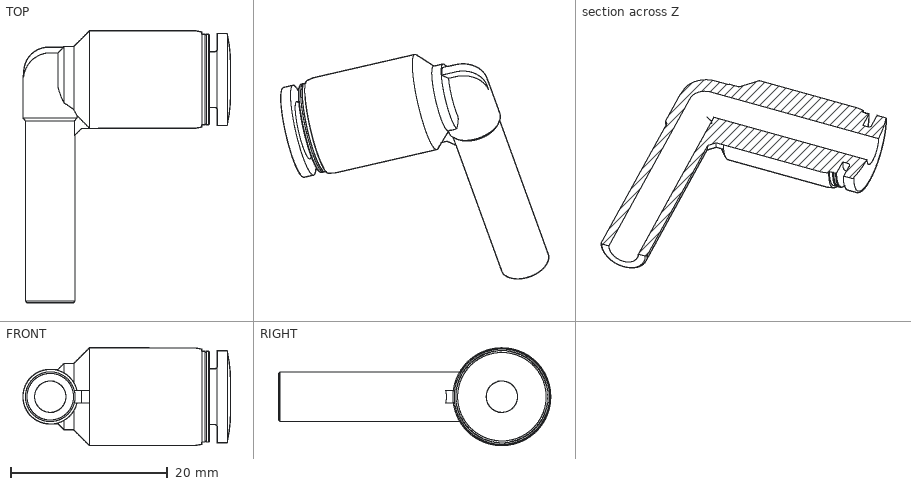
import cadquery as cq
import math


bore_dia = 4.0
bore_radius = bore_dia / 2
stem_radius = 6.35 / 2
stem_end_y = -28.5
stem_chamfer = 0.2
elbow_radius = 3.5
elbow_end_y = -5.3
elbow_bevel_length = 0.4

shoulder_radius = 4.25
body_radius = 12.5 / 2
shoulder_bevel = shoulder_radius - elbow_radius
shoulder_bevel_start = 1.0
shoulder_end = 3.0
body_start = shoulder_end + (body_radius - shoulder_radius)
body_rim_start = 18.5
body_end = 19.35
body_rim_drop = 0.16

seal_radius = 11.62 / 2
seal_end = 20.3
seal_bevel = 0.1
groove_start = 19.78
groove_end = 19.97
groove_depth = 0.15

button_neck_radius = 7.15 / 2
button_neck_end = 21.0
button_neck_flare = 0.18
button_start = 21.29
button_radius = 11.8 / 2
button_rim_start = 22.48
button_dome_start = 22.63
button_dome_radius = 5.65
button_end = 23.03

web_thickness = 1.55
web_left = -3.4
web_top = 4.15
web_corner_radius = 3.2
gusset_start = 4.0


def revolve_about_x(points):
    """Turn a closed (x, radius) profile about the X axis."""
    return cq.Workplane("XY").polyline(points).close().revolve(360, (0, 0), (1, 0))


def revolve_about_y(points):
    """Turn a closed (radius, y) profile about the Y axis."""
    return cq.Workplane("XY").polyline(points).close().revolve(360, (0, 0), (0, 1))


def make_stem():
    """Round stem with the wider elbow leg at its top."""
    return revolve_about_y([
        (0, 0),
        (elbow_radius, 0),
        (elbow_radius, elbow_end_y + elbow_bevel_length),
        (stem_radius, elbow_end_y),
        (stem_radius, stem_end_y + stem_chamfer),
        (stem_radius - stem_chamfer, stem_end_y),
        (0, stem_end_y),
    ])


def make_socket():
    """Elbow leg along X, stepped shoulder, body and grooved seal ring."""
    return revolve_about_x([
        (0, 0),
        (0, elbow_radius),
        (shoulder_bevel_start, elbow_radius),
        (shoulder_bevel_start + shoulder_bevel, shoulder_radius),
        (shoulder_end, shoulder_radius),
        (body_start, body_radius),
        (body_rim_start, body_radius),
        (body_end, body_radius - body_rim_drop),
        (body_end, seal_radius),
        (groove_start, seal_radius),
        (groove_start, seal_radius - groove_depth),
        (groove_end, seal_radius),
        (seal_end - seal_bevel, seal_radius),
        (seal_end, seal_radius - seal_bevel),
        (seal_end, 0),
    ])


def dome_middle():
    """Point halfway along the dome arc, which is square to the X axis at the bore mouth."""
    depth = button_end - button_dome_start
    width = button_dome_radius - bore_radius
    arc_radius = (width**2 + depth**2) / (2 * depth)
    half_angle = math.atan2(depth, width)
    return (
        button_end - arc_radius * (1 - math.cos(half_angle)),
        bore_radius + arc_radius * math.sin(half_angle),
    )


def make_button():
    """Release button: flared neck and a flange with a rounded rim and a domed face."""
    return (
        cq.Workplane("XY")
        .moveTo(seal_end, 0)
        .lineTo(seal_end, button_neck_radius)
        .lineTo(button_neck_end, button_neck_radius)
        .tangentArcPoint((button_start, button_neck_radius + button_neck_flare), relative=False)
        .lineTo(button_start, button_radius)
        .lineTo(button_rim_start, button_radius)
        .tangentArcPoint((button_dome_start, button_dome_radius), relative=False)
        .threePointArc(dome_middle(), (button_end, bore_radius))
        .lineTo(button_end, 0)
        .close()
        .revolve(360, (0, 0), (1, 0))
    )


def make_web():
    """Flat web: rounded outside the elbow, 45 degree gusset inside it."""
    arc_center_x = web_left + web_corner_radius
    arc_center_y = web_top - web_corner_radius
    arc_reach = web_corner_radius * math.cos(math.radians(45))
    gusset_foot_y = -body_radius - gusset_start
    return (
        cq.Workplane("XY")
        .moveTo(web_left, 0)
        .lineTo(web_left, arc_center_y)
        .threePointArc(
            (arc_center_x - arc_reach, arc_center_y + arc_reach),
            (arc_center_x, web_top),
        )
        .lineTo(shoulder_end, web_top)
        .lineTo(body_start, 0)
        .lineTo(body_start, -body_radius)
        .lineTo(gusset_start, -body_radius)
        .lineTo(0, gusset_foot_y)
        .lineTo(0, 0)
        .close()
        .extrude(web_thickness / 2, both=True)
    )


def make_bore():
    """Bore up the stem, round the elbow and out through the button."""
    stem_bore = cq.Workplane("XZ").circle(bore_radius).extrude(-stem_end_y)
    socket_bore = cq.Workplane("YZ").circle(bore_radius).extrude(button_end)
    return stem_bore.union(socket_bore).union(cq.Workplane("XY").sphere(bore_radius))


result = make_stem().union(make_socket())
result = result.union(cq.Workplane("XY").sphere(elbow_radius))
result = result.union(make_web())
result = result.union(make_button())
result = result.cut(make_bore())